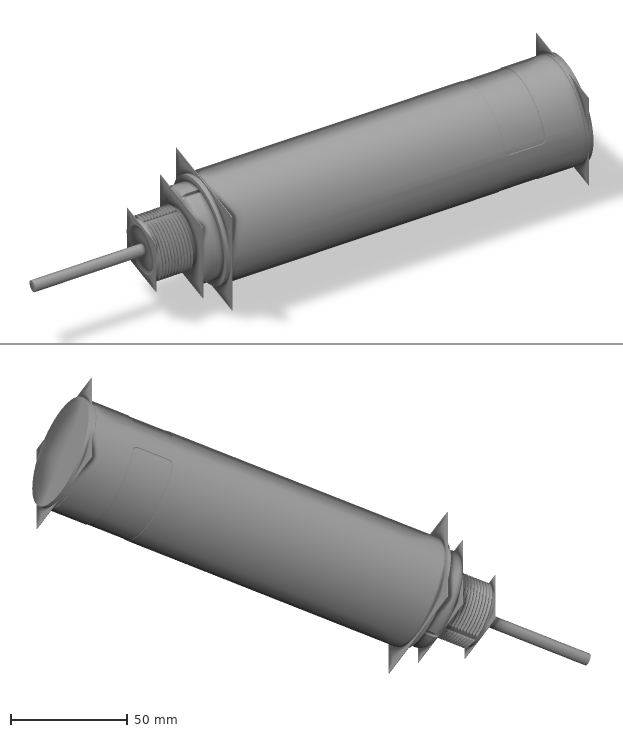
import cadquery as cq

TOTAL_LENGTH = 259.0

BARREL_DIAMETER = 50.5
BARREL_END = 178.0
SEAM_DEPTH = 0.3
CAP_SEAM_START = 3.4
CAP_SEAM_WIDTH = 0.4
FLANGE_SEAM_START = 174.5
FLANGE_SEAM_WIDTH = 1.0

WINDOW_START = 22.3
WINDOW_LENGTH = 20.2
WINDOW_EDGE_HEIGHT = 7.0
WINDOW_CORNER_RADIUS = 2.5
WINDOW_DEPTH = 0.3

COLLAR_DIAMETER = 44.5
COLLAR_END = 186.7
COLLAR_FILLET = 3.0
COLLAR_NOTCH_WIDTH = 2.0
COLLAR_NOTCH_DEPTH = 1.3

NECK_DIAMETER = 27.5
NECK_END = 206.1
THREAD_DIAMETER = 30.0
THREAD_PITCH = 1.5
THREAD_RINGS = 11
THREAD_START = 188.0
KEYWAY_WIDTH = 3.0
KEYWAY_FLOOR_RADIUS = 13.5

RECESS_MOUTH_DIAMETER = 22.8
RECESS_FLOOR_DIAMETER = 19.7
RECESS_DEPTH = 0.8

PLATE_THICKNESS = 0.3
BACK_PLATE = (49.2, 2.0)
FLANGE_PLATE = (52.5, FLANGE_SEAM_START + FLANGE_SEAM_WIDTH + PLATE_THICKNESS)
COLLAR_PLATE = (40.0, COLLAR_END)
NECK_PLATE = (27.2, NECK_END)

CABLE_DIAMETER = 5.5
CABLE_START = NECK_END - RECESS_DEPTH


def disc(diameter, start, end):
    """Cylinder about the Y axis between two distances from the back end."""
    return cq.Workplane("XZ", origin=(0, -start, 0)).circle(diameter / 2).extrude(end - start)


def ring(outer, inner, start, end):
    """Tube about the Y axis between two diameters."""
    return disc(outer, start, end).cut(disc(inner, start, end))


def square_plate(side, front):
    """Thin square across the axis whose -Y face is at the given distance."""
    start = front - PLATE_THICKNESS
    return cq.Workplane("XZ", origin=(0, -start, 0)).rect(side, side).extrude(PLATE_THICKNESS)


def slots(width, floor_radius, top_radius, start, end):
    """Lengthwise slot cutters at the top and the bottom of a round section."""
    height = top_radius - floor_radius
    middle_y = -(start + end) / 2
    middle_z = (top_radius + floor_radius) / 2
    upper = cq.Workplane("XY", origin=(0, middle_y, middle_z)).box(width, end - start, height)
    return upper.union(upper.mirror("XY"))


def window_cutter(side):
    """Shell over the top (side = 1) or bottom (side = -1), with rounded lower corners."""
    outline = (
        cq.Workplane("XY")
        .box(BARREL_DIAMETER, WINDOW_LENGTH, BARREL_DIAMETER, centered=(True, True, False))
        .faces("<Z").edges("|X").fillet(WINDOW_CORNER_RADIUS)
        .translate((0, -WINDOW_START - WINDOW_LENGTH / 2, WINDOW_EDGE_HEIGHT))
    )
    if side < 0:
        outline = outline.mirror("XY")
    skin = ring(
        BARREL_DIAMETER,
        BARREL_DIAMETER - 2 * WINDOW_DEPTH,
        WINDOW_START,
        WINDOW_START + WINDOW_LENGTH,
    )
    return skin.intersect(outline)


def make_barrel():
    barrel = disc(BARREL_DIAMETER, 0, BARREL_END)
    seam_floor = BARREL_DIAMETER - 2 * SEAM_DEPTH
    seams = [(CAP_SEAM_START, CAP_SEAM_WIDTH), (FLANGE_SEAM_START, FLANGE_SEAM_WIDTH)]
    for start, width in seams:
        barrel = barrel.cut(ring(BARREL_DIAMETER, seam_floor, start, start + width))
    for side in (1, -1):
        barrel = barrel.cut(window_cutter(side))
    return barrel


def make_collar():
    collar = disc(COLLAR_DIAMETER, BARREL_END, COLLAR_END)
    collar = collar.faces("<Y").edges().fillet(COLLAR_FILLET)
    radius = COLLAR_DIAMETER / 2
    return collar.cut(
        slots(COLLAR_NOTCH_WIDTH, radius - COLLAR_NOTCH_DEPTH, radius, BARREL_END, COLLAR_END)
    )


def make_neck():
    root = NECK_DIAMETER / 2
    crest = THREAD_DIAMETER / 2
    thread_end = THREAD_START + THREAD_RINGS * THREAD_PITCH
    profile = cq.Workplane("XY").moveTo(0, -COLLAR_END).lineTo(root, -COLLAR_END)
    profile = profile.lineTo(root, -THREAD_START)
    for index in range(THREAD_RINGS):
        ring_start = THREAD_START + index * THREAD_PITCH
        profile = profile.lineTo(crest, -(ring_start + THREAD_PITCH / 2))
        profile = profile.lineTo(root, -(ring_start + THREAD_PITCH))
    profile = (
        profile.lineTo(root, -NECK_END)
        .lineTo(RECESS_MOUTH_DIAMETER / 2, -NECK_END)
        .lineTo(RECESS_FLOOR_DIAMETER / 2, -CABLE_START)
        .lineTo(0, -CABLE_START)
        .close()
    )
    neck = profile.revolve(360, (0, 0, 0), (0, 1, 0))
    return neck.cut(slots(KEYWAY_WIDTH, KEYWAY_FLOOR_RADIUS, crest, THREAD_START, thread_end))


def make_housing():
    housing = make_barrel().union(make_collar()).union(make_neck())
    for side, front in (BACK_PLATE, FLANGE_PLATE, COLLAR_PLATE):
        housing = housing.union(square_plate(side, front))
    neck_plate = square_plate(*NECK_PLATE).cut(
        disc(RECESS_MOUTH_DIAMETER, NECK_END - PLATE_THICKNESS, NECK_END)
    )
    return housing.union(neck_plate)


def make_cable():
    return disc(CABLE_DIAMETER, CABLE_START, TOTAL_LENGTH)


housing = make_housing()
cable = make_cable()

result = cq.Compound.makeCompound([housing.val(), cable.val()])